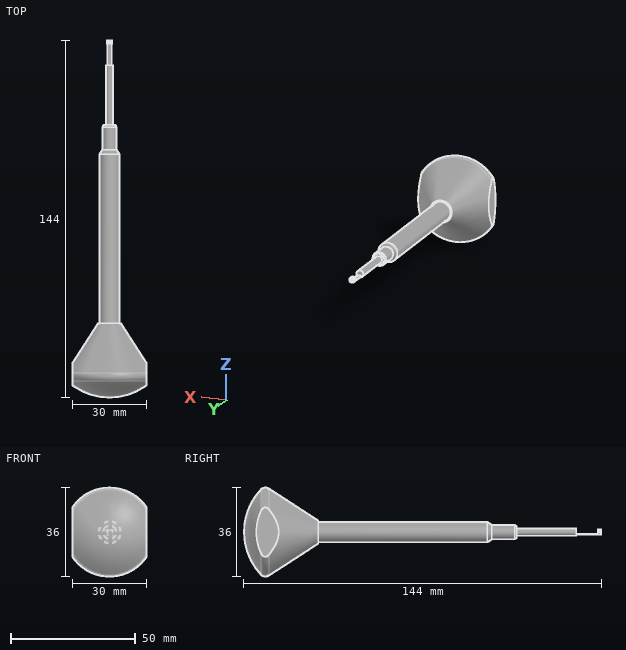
import cadquery as cq
import math

HEAD_FILLET_CENTRE = 8.7
NECK_END = 30.0
SHAFT_END = 98.2
FERRULE_START = 100.0
FERRULE_END = 110.0
ROD_END = 134.0
TIP_END = 144.0

HEAD_RADIUS = 18.0
HEAD_WIDTH = 30.0
RIM_FILLET = 2.5
DOME_RADIUS = 25.0
NECK_RADIUS = 4.65

SHAFT_RADIUS = 4.1
FERRULE_RADIUS = 2.9
FERRULE_CHAMFER_LENGTH = 0.9
FERRULE_CHAMFER_DEPTH = 0.5
ROD_RADIUS = 1.5

TIP_RADIUS = 1.15
HOOK_LENGTH = 1.4
BLADE_TOP = -0.6
BORE_RADIUS = 0.55
NOTCH_WIDTH = 0.25
NOTCH_LENGTH = 0.7
NOTCH_FLOOR_RADIUS = 0.8
NOTCH_ANGLES = (0, 60, 120, 180)


def polar(centre, radius, angle):
    """Point at an angle about a centre, in (axis, radius) coordinates."""
    return (centre[0] + radius * math.cos(angle), centre[1] + radius * math.sin(angle))


def head():
    """Revolved dome and cone joined by a tangent rim fillet, with two side flats."""
    rim = (HEAD_FILLET_CENTRE, HEAD_RADIUS - RIM_FILLET)

    centre_distance = DOME_RADIUS - RIM_FILLET
    dome_angle = math.pi - math.asin(rim[1] / centre_distance)
    dome_centre = (rim[0] - centre_distance * math.cos(dome_angle), 0)
    dome_pole = polar(dome_centre, DOME_RADIUS, math.pi)
    dome_mid = polar(dome_centre, DOME_RADIUS, (math.pi + dome_angle) / 2)
    dome_end = polar(dome_centre, DOME_RADIUS, dome_angle)

    neck = (NECK_END, NECK_RADIUS)
    to_neck = (neck[0] - rim[0], neck[1] - rim[1])
    neck_distance = math.hypot(*to_neck)
    cone_angle = math.atan2(to_neck[1], to_neck[0]) + math.acos(RIM_FILLET / neck_distance)
    cone_start = polar(rim, RIM_FILLET, cone_angle)
    rim_mid = polar(rim, RIM_FILLET, (dome_angle + cone_angle) / 2)

    body = (
        cq.Workplane("YZ")
        .moveTo(*dome_pole)
        .threePointArc(dome_mid, dome_end)
        .threePointArc(rim_mid, cone_start)
        .lineTo(*neck)
        .lineTo(NECK_END, 0)
        .close()
        .revolve(360, (0, 0), (1, 0))
    )
    slab_size = 2 * NECK_END
    slab = cq.Workplane("XY").box(HEAD_WIDTH, slab_size, slab_size)
    return body.intersect(slab.translate((0, NECK_END / 2, 0)))


def stem():
    """Shaft, its tapered shoulder, the chamfered ferrule, the rod and the tip pin."""
    outline = [
        (NECK_END, 0),
        (NECK_END, SHAFT_RADIUS),
        (SHAFT_END, SHAFT_RADIUS),
        (FERRULE_START, FERRULE_RADIUS),
        (FERRULE_END - FERRULE_CHAMFER_LENGTH, FERRULE_RADIUS),
        (FERRULE_END, FERRULE_RADIUS - FERRULE_CHAMFER_DEPTH),
        (FERRULE_END, ROD_RADIUS),
        (ROD_END, ROD_RADIUS),
        (ROD_END, TIP_RADIUS),
        (TIP_END, TIP_RADIUS),
        (TIP_END, 0),
    ]
    return cq.Workplane("YZ").polyline(outline).close().revolve(360, (0, 0), (1, 0))


def blade_relief():
    """Cutter that leaves a thin blade between the rod and the hook."""
    length = TIP_END - HOOK_LENGTH - ROD_END
    cutter = cq.Workplane("XY").box(
        4 * TIP_RADIUS, length, 2 * TIP_RADIUS, centered=(True, False, False)
    )
    return cutter.translate((0, ROD_END, BLADE_TOP))


def hook_bore():
    """Cutter for the axial hole through the hook."""
    hook_start = TIP_END - HOOK_LENGTH
    bore = cq.Workplane("XZ", origin=(0, hook_start, 0)).circle(BORE_RADIUS)
    return bore.extrude(-HOOK_LENGTH)


def rim_notch(angle):
    """Cutter for one narrow notch in the rim of the hook's free end."""
    notch = cq.Workplane("XY").box(
        TIP_RADIUS, NOTCH_LENGTH, NOTCH_WIDTH, centered=(False, False, True)
    )
    notch = notch.translate((NOTCH_FLOOR_RADIUS, TIP_END - NOTCH_LENGTH, 0))
    return notch.rotate((0, 0, 0), (0, 1, 0), -angle)


result = head().union(stem()).cut(blade_relief()).cut(hook_bore())
for notch_angle in NOTCH_ANGLES:
    result = result.cut(rim_notch(notch_angle))